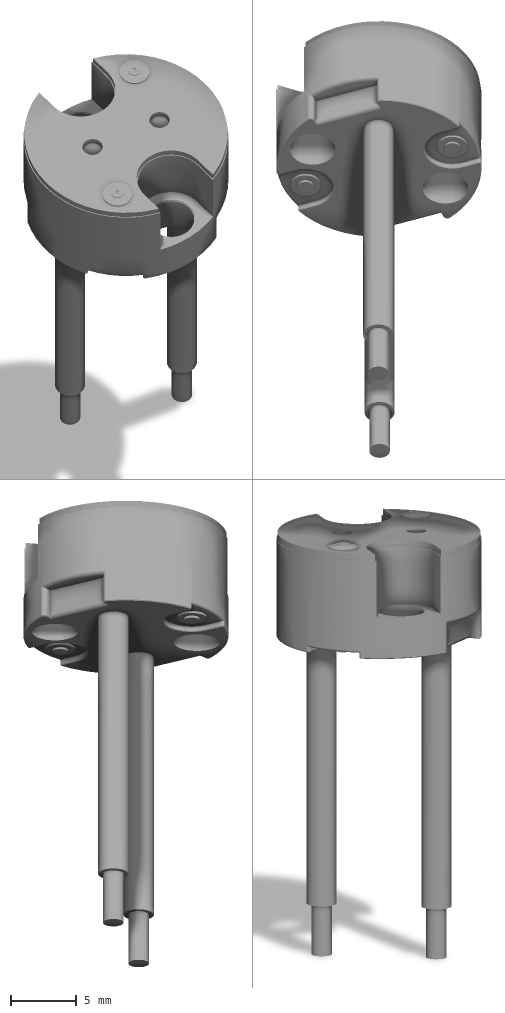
import cadquery as cq
import math


HOUSING_DIAMETER = 15.65
HOUSING_RADIUS = HOUSING_DIAMETER / 2
HOUSING_HEIGHT = 7.67
BOTTOM_CHAMFER = 0.07

CAP_THICKNESS = 0.5
CAP_INSET = 0.07
CAP_RADIUS = HOUSING_RADIUS - CAP_INSET
CAP_TOP = HOUSING_HEIGHT + CAP_THICKNESS

POCKET_X = 5.53
POCKET_RADIUS = 2.58
POCKET_FLOOR = 3.2
MOUNTING_HOLE_RADIUS = 1.75
MOUNTING_HOLE_STEP = 0.07

DIAGONAL = 45.0
RECESS_FLAT_DISTANCE = 6.57
RECESS_HALF_WIDTH = 2.58
RECESS_HEIGHT = 2.28
RECESS_ROUNDING = 0.3

RIVET_OFFSET = 4.25
RIVET_DISTANCE = RIVET_OFFSET * math.sqrt(2)
RIVET_SHANK_RADIUS = 0.6
RIVET_HEAD_RADIUS = 1.15
RIVET_RIM_HEIGHT = 0.1
RIVET_CROWN_RADIUS = 0.5
RIVET_HEAD_HEIGHT = 0.3
RIVET_CONE_HEIGHT = 0.25
RIVET_DIMPLE_RADIUS = 0.17
RIVET_DIMPLE_DEPTH = 0.07
RIVET_TAIL_FLANGE = 0.17
RIVET_TAIL_HEIGHT = 0.35
TAIL_SLOT_HALF_WIDTH = 2.1
TAIL_SLOT_HEIGHT = 0.45
TAIL_SLOT_ROUNDING = 0.17

CONTACT_X = 0.57
CONTACT_Y = 2.8
CONTACT_RADIUS = 0.77
CONTACT_HEIGHT = 2.68
CONTACT_VALLEY_DEPTH = 0.4

WIRE_X = 1.8
WIRE_Y = 4.02
SLEEVE_DIAMETER = 2.3
SLEEVE_RADIUS = SLEEVE_DIAMETER / 2
SLEEVE_LENGTH = 21.05
CORE_DIAMETER = 1.57
CORE_RADIUS = CORE_DIAMETER / 2
CORE_LENGTH = 25.03

MARGIN = 0.05

RIVET_PLACES = [(-RIVET_OFFSET, RIVET_OFFSET), (RIVET_OFFSET, -RIVET_OFFSET)]
CONTACT_PLACES = [(CONTACT_X, CONTACT_Y), (-CONTACT_X, -CONTACT_Y)]
WIRE_PLACES = [(WIRE_X, WIRE_Y), (-WIRE_X, -WIRE_Y)]


def cylinder(radius, bottom, height):
    return cq.Workplane().workplane(offset=bottom).circle(radius).extrude(height)


def turned(body, angle):
    return body.rotate((0, 0, 0), (0, 0, 1), angle)


def pocket_cutter(radius, bottom, height):
    """Both mounting pockets: a half round that runs straight out through the rim."""
    cutter = cq.Workplane()
    for side in (-1, 1):
        x = side * POCKET_X
        straight = cq.Workplane().box(
            HOUSING_RADIUS, 2 * radius, height, centered=(True, True, False)
        ).translate((x + side * HOUSING_RADIUS / 2, 0, bottom))
        round_end = cylinder(radius, bottom, height).translate((x, 0, 0))
        cutter = cutter.add(straight.union(round_end))
    return cutter.combine()


def rounded_mouth(cutter, half_width, height, rounding):
    """Extend a cutter that opens toward +X at the lower rim so that its mouth is rounded.

    One half is worked out on a half disc and mirrored, so both corners of the mouth match.
    """
    reach = math.sqrt(HOUSING_RADIUS**2 - half_width**2)
    mouth = cq.selectors.BoxSelector(
        (reach - MARGIN, MARGIN, MARGIN), (HOUSING_RADIUS + MARGIN, half_width + MARGIN, height + MARGIN)
    )
    half_space = cq.Workplane().box(
        2 * HOUSING_RADIUS, HOUSING_RADIUS, HOUSING_HEIGHT, centered=(True, False, False)
    )
    half_disc = cylinder(HOUSING_RADIUS, 0, HOUSING_HEIGHT).intersect(half_space)
    rounded = half_disc.cut(cutter).edges(mouth).fillet(rounding)
    half = half_disc.cut(rounded)
    return half.union(half.mirror("XZ"))


def recess_cutter():
    return cq.Workplane().box(
        HOUSING_RADIUS, 2 * RECESS_HALF_WIDTH, RECESS_HEIGHT, centered=(False, True, False)
    ).translate((RECESS_FLAT_DISTANCE, 0, 0))


def recess_bottom_round():
    """What is cut away to round the bottom edge of a recess flat."""
    inner = RECESS_FLAT_DISTANCE - RECESS_ROUNDING
    corner = (
        cq.Workplane("XZ")
        .moveTo(inner, 0)
        .radiusArc((RECESS_FLAT_DISTANCE, RECESS_ROUNDING), -RECESS_ROUNDING)
        .lineTo(RECESS_FLAT_DISTANCE, 0)
        .close()
    )
    return corner.extrude(RECESS_HALF_WIDTH, both=True)


def tail_slot_cutter():
    straight = cq.Workplane().box(
        HOUSING_RADIUS, 2 * TAIL_SLOT_HALF_WIDTH, TAIL_SLOT_HEIGHT, centered=(False, True, False)
    )
    round_end = cylinder(TAIL_SLOT_HALF_WIDTH, 0, TAIL_SLOT_HEIGHT)
    return straight.union(round_end).translate((RIVET_DISTANCE, 0, 0))


def mounting_hole_cutter():
    """Through hole with a small step around its mouth at the pocket floor."""
    hole = cylinder(MOUNTING_HOLE_RADIUS, 0, POCKET_FLOOR)
    mouth_bottom = POCKET_FLOOR - MOUNTING_HOLE_STEP
    mouth = cylinder(MOUNTING_HOLE_RADIUS + MOUNTING_HOLE_STEP, mouth_bottom, MOUNTING_HOLE_STEP)
    return hole.union(mouth)


def make_housing():
    body = cylinder(HOUSING_RADIUS, 0, HOUSING_HEIGHT)
    recess = rounded_mouth(recess_cutter(), RECESS_HALF_WIDTH, RECESS_HEIGHT, RECESS_ROUNDING)
    tail_slot = rounded_mouth(
        tail_slot_cutter(), TAIL_SLOT_HALF_WIDTH, TAIL_SLOT_HEIGHT, TAIL_SLOT_ROUNDING
    )
    for turn in (0, 180):
        body = body.cut(turned(recess, turn + DIAGONAL))
        body = body.cut(turned(tail_slot, turn - DIAGONAL))
    body = body.faces("<Z").edges().chamfer(BOTTOM_CHAMFER)
    for turn in (0, 180):
        body = body.cut(turned(recess_bottom_round(), turn + DIAGONAL))
    body = body.cut(pocket_cutter(POCKET_RADIUS, POCKET_FLOOR, HOUSING_HEIGHT))
    for side in (-1, 1):
        body = body.cut(mounting_hole_cutter().translate((side * POCKET_X, 0, 0)))
    for place in RIVET_PLACES:
        body = body.cut(cylinder(RIVET_SHANK_RADIUS, 0, HOUSING_HEIGHT).translate((*place, 0)))
    for place in CONTACT_PLACES:
        bore = cylinder(CONTACT_RADIUS, HOUSING_HEIGHT - CONTACT_HEIGHT, CONTACT_HEIGHT)
        body = body.cut(bore.translate((*place, 0)))
    return body


def make_cap():
    plate = cylinder(CAP_RADIUS, HOUSING_HEIGHT, CAP_THICKNESS)
    plate = plate.cut(pocket_cutter(POCKET_RADIUS + CAP_INSET, HOUSING_HEIGHT, CAP_THICKNESS))
    plate = plate.cut(
        cq.Workplane().workplane(offset=HOUSING_HEIGHT).pushPoints(RIVET_PLACES)
        .circle(RIVET_SHANK_RADIUS).extrude(CAP_THICKNESS)
    )
    return plate.cut(
        cq.Workplane().workplane(offset=HOUSING_HEIGHT).pushPoints(CONTACT_PLACES)
        .circle(CONTACT_RADIUS).extrude(CAP_THICKNESS)
    )


def make_rivet(place):
    """Shank with a conical head on the cap and a flanged tail in the tail slot."""
    tail_end = TAIL_SLOT_HEIGHT - RIVET_TAIL_HEIGHT
    flange_bottom = TAIL_SLOT_HEIGHT - RIVET_TAIL_FLANGE
    dimple_floor = CAP_TOP + RIVET_HEAD_HEIGHT - RIVET_DIMPLE_DEPTH
    profile = (
        cq.Workplane("XZ")
        .moveTo(0, tail_end)
        .lineTo(RIVET_SHANK_RADIUS, tail_end)
        .lineTo(RIVET_SHANK_RADIUS, flange_bottom)
        .lineTo(RIVET_HEAD_RADIUS, flange_bottom)
        .lineTo(RIVET_HEAD_RADIUS, TAIL_SLOT_HEIGHT)
        .lineTo(RIVET_SHANK_RADIUS, TAIL_SLOT_HEIGHT)
        .lineTo(RIVET_SHANK_RADIUS, CAP_TOP)
        .lineTo(RIVET_HEAD_RADIUS, CAP_TOP)
        .lineTo(RIVET_HEAD_RADIUS, CAP_TOP + RIVET_RIM_HEIGHT)
        .lineTo(RIVET_CROWN_RADIUS, CAP_TOP + RIVET_CONE_HEIGHT)
        .lineTo(RIVET_CROWN_RADIUS, CAP_TOP + RIVET_HEAD_HEIGHT)
        .lineTo(RIVET_DIMPLE_RADIUS, CAP_TOP + RIVET_HEAD_HEIGHT)
        .lineTo(RIVET_DIMPLE_RADIUS, dimple_floor)
        .lineTo(0, dimple_floor)
        .close()
    )
    return profile.revolve(360, (0, 0, 0), (0, 1, 0)).translate((*place, 0))


def make_contact(place):
    """Plug whose top is a pair of rounded lips that meet in a valley along the diagonal."""
    top = HOUSING_HEIGHT
    bottom = HOUSING_HEIGHT - CONTACT_HEIGHT
    valley = top - CONTACT_VALLEY_DEPTH
    lip_radius = (CONTACT_RADIUS**2 + CONTACT_VALLEY_DEPTH**2) / (2 * CONTACT_VALLEY_DEPTH)
    lips = (
        cq.Workplane("XZ")
        .moveTo(-CONTACT_RADIUS, bottom)
        .lineTo(-CONTACT_RADIUS, top)
        .radiusArc((0, valley), lip_radius)
        .radiusArc((CONTACT_RADIUS, top), lip_radius)
        .lineTo(CONTACT_RADIUS, bottom)
        .close()
        .extrude(CONTACT_RADIUS, both=True)
        .rotate((0, 0, 0), (0, 0, 1), -DIAGONAL)
    )
    plug = cylinder(CONTACT_RADIUS, bottom, CONTACT_HEIGHT).intersect(lips)
    return plug.translate((*place, 0))


def make_sleeve(place):
    tube = cylinder(SLEEVE_RADIUS, -SLEEVE_LENGTH, SLEEVE_LENGTH)
    return tube.cut(cylinder(CORE_RADIUS, -SLEEVE_LENGTH, SLEEVE_LENGTH)).translate((*place, 0))


def make_core(place):
    return cylinder(CORE_RADIUS, -CORE_LENGTH, CORE_LENGTH).translate((*place, 0))


housing = make_housing()
cap = make_cap()
rivets = [make_rivet(place) for place in RIVET_PLACES]
contacts = [make_contact(place) for place in CONTACT_PLACES]
sleeves = [make_sleeve(place) for place in WIRE_PLACES]
cores = [make_core(place) for place in WIRE_PLACES]

result = cq.Compound.makeCompound(
    [body.val() for body in (housing, cap, *rivets, *contacts, *sleeves, *cores)]
)